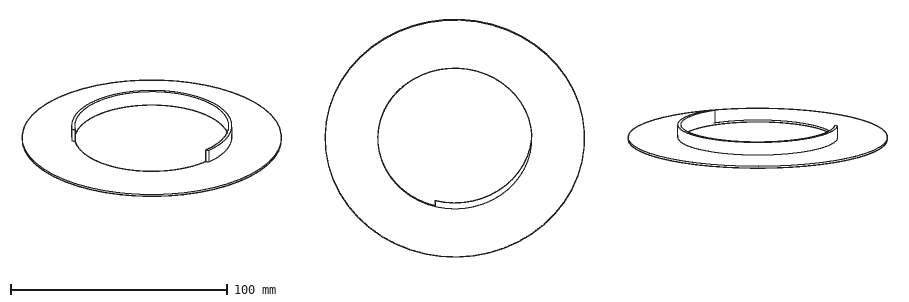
import cadquery as cq

flange_diameter = 120.0
bore_diameter = 71.2
collar_wall = 1.5
flange_thickness = 1.0
total_height = 7.0
collar_end_y = -15.8

collar_diameter = bore_diameter + 2 * collar_wall
collar_radius = collar_diameter / 2


def ring(outer_diameter, height):
    """Ring around the bore, standing on the XY plane."""
    return cq.Workplane("XY").circle(outer_diameter / 2).circle(bore_diameter / 2).extrude(height)


def open_collar():
    """Collar ring with everything beyond the end plane on the -Y side removed."""
    kept_length = collar_radius - collar_end_y
    kept_region = (
        cq.Workplane("XY")
        .center(0, collar_end_y + kept_length / 2)
        .rect(collar_diameter, kept_length)
        .extrude(total_height)
    )
    return ring(collar_diameter, total_height).intersect(kept_region)


flange = ring(flange_diameter, flange_thickness)
result = flange.union(open_collar())